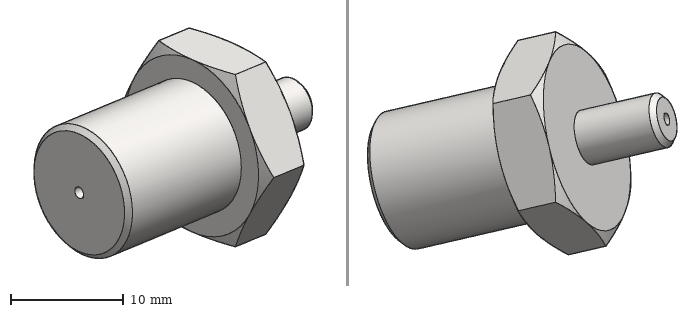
import cadquery as cq
import math

PLUG_LENGTH = 14.0
HEX_LENGTH = 5.0
PIN_LENGTH = 8.0

PLUG_DIAMETER = 12.6
PIN_DIAMETER = 5.0
BORE_DIAMETER = 1.1
END_CHAMFER = 0.5

HEX_ACROSS_FLATS = 17.0
HEX_ACROSS_CORNERS = HEX_ACROSS_FLATS / math.cos(math.radians(30))
HEX_CHAMFER_ANGLE = 25.0

HEX_START = PLUG_LENGTH
HEX_END = HEX_START + HEX_LENGTH
TOTAL_LENGTH = HEX_END + PIN_LENGTH


def plane_at(y):
    """XZ plane at the given Y whose normal points toward +Y."""
    return cq.Plane(origin=(0, y, 0), xDir=(1, 0, 0), normal=(0, 1, 0))


def cylinder(y_start, length, diameter):
    return cq.Workplane(plane_at(y_start)).circle(diameter / 2).extrude(length)


def corner_cutter():
    """Turned envelope whose two cones bevel the hexagon corners."""
    face_radius = HEX_ACROSS_FLATS / 2
    corner_radius = HEX_ACROSS_CORNERS / 2
    bevel = (corner_radius - face_radius) * math.tan(math.radians(HEX_CHAMFER_ANGLE))
    return (
        cq.Workplane("XY")
        .moveTo(0, HEX_START)
        .lineTo(face_radius, HEX_START)
        .lineTo(corner_radius, HEX_START + bevel)
        .lineTo(corner_radius, HEX_END - bevel)
        .lineTo(face_radius, HEX_END)
        .lineTo(0, HEX_END)
        .close()
        .revolve(360, (0, 0, 0), (0, 1, 0))
    )


def hexagon():
    prism = cq.Workplane(plane_at(HEX_START)).polygon(6, HEX_ACROSS_CORNERS).extrude(HEX_LENGTH)
    return prism.intersect(corner_cutter())


plug = cylinder(0, PLUG_LENGTH, PLUG_DIAMETER).faces("<Y").chamfer(END_CHAMFER)
pin = cylinder(HEX_END, PIN_LENGTH, PIN_DIAMETER).faces(">Y").chamfer(END_CHAMFER)
bore = cylinder(0, TOTAL_LENGTH, BORE_DIAMETER)

result = plug.union(hexagon()).union(pin).cut(bore)